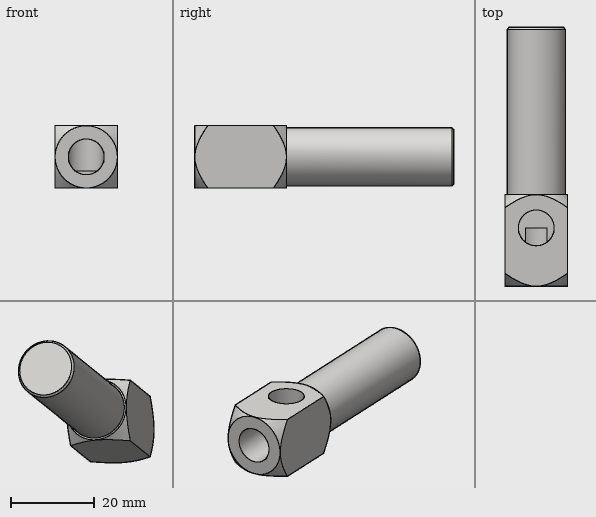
import cadquery as cq

total_length = 62.0
head_width = 15.0
head_length = 22.0
end_face_diameter = 14.9
shank_diameter = 14.0
shank_chamfer = 0.5
bore_diameter = 8.55
bore_depth = 13.95
top_bore_y = 14.0
top_bore_depth = 10.9

shank_length = total_length - head_length


def rod_along_y(diameter, start_y, length):
    """Cylinder on the Y axis, running toward +Y from start_y."""
    return (
        cq.Workplane("XZ", origin=(0, start_y, 0))
        .circle(diameter / 2)
        .extrude(-length)
    )


def turned_envelope():
    """Double cone with 45-degree flanks, which trims the corners of the square head."""
    end_radius = end_face_diameter / 2
    middle_y = head_length / 2
    return (
        cq.Workplane("XY")
        .lineTo(end_radius, 0)
        .lineTo(end_radius + middle_y, middle_y)
        .lineTo(end_radius, head_length)
        .lineTo(0, head_length)
        .close()
        .revolve(360, (0, 0, 0), (0, 1, 0))
    )


def make_head():
    """Square head with coned corners and two bores that meet at a right angle."""
    block = cq.Workplane("XY").box(head_width, head_length, head_width, centered=(True, False, True))
    front_bore = rod_along_y(bore_diameter, 0, bore_depth)
    top_bore = (
        cq.Workplane("XY", origin=(0, top_bore_y, head_width / 2))
        .circle(bore_diameter / 2)
        .extrude(-top_bore_depth)
    )
    return block.intersect(turned_envelope()).cut(front_bore).cut(top_bore)


def make_shank():
    """Plain round shank against the back of the head, chamfered at its free end."""
    return rod_along_y(shank_diameter, head_length, shank_length).faces(">Y").chamfer(shank_chamfer)


head = make_head()
shank = make_shank()

result = cq.Compound.makeCompound([head.val(), shank.val()])